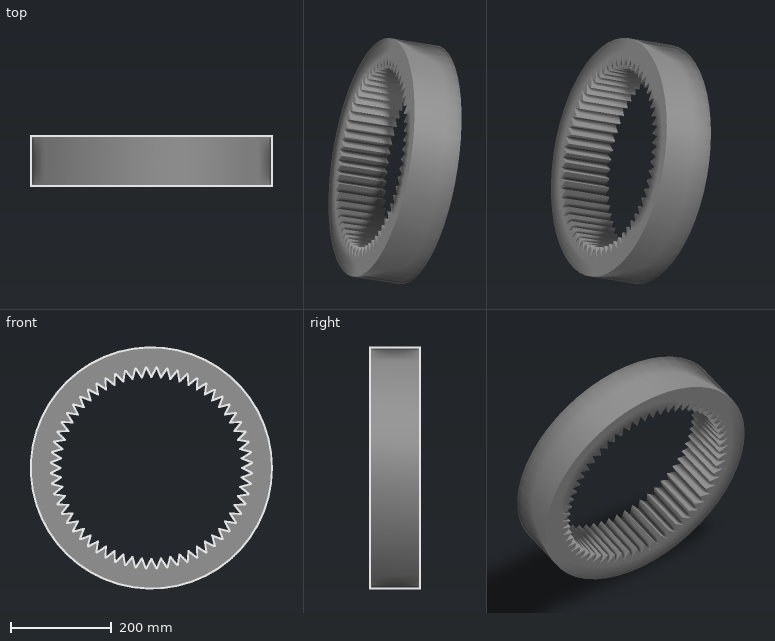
import cadquery as cq
import math

outer_diameter = 480.0
face_width = 100.0

tooth_count = 60
root_radius = 200.0
tooth_height = 20.0
tooth_base_width = 20.0
tip_radius = root_radius - tooth_height
tooth_pitch = 2 * math.pi / tooth_count
base_half_angle = math.asin(tooth_base_width / 2 / root_radius)


def polar_point(radius, angle):
    """Point in the XZ plane at the given radius and angle from +X."""
    return (radius * math.cos(angle), radius * math.sin(angle))


def front_plane():
    """XZ workplane on the -Y face; its normal points to -Y."""
    return cq.Workplane("XZ", origin=(0, -face_width / 2, 0))


def make_blank():
    """Solid disc spanning the full face width."""
    return front_plane().circle(outer_diameter / 2).extrude(-face_width)


def make_toothed_bore():
    """Core whose outline forms the internal teeth; one tooth tip lies on +X."""
    outline = front_plane().moveTo(tip_radius, 0)
    for tooth in range(tooth_count):
        tip_angle = tooth * tooth_pitch
        next_tip_angle = tip_angle + tooth_pitch
        root_start = polar_point(root_radius, tip_angle + base_half_angle)
        root_middle = polar_point(root_radius, tip_angle + tooth_pitch / 2)
        root_end = polar_point(root_radius, next_tip_angle - base_half_angle)
        outline = outline.lineTo(*root_start).threePointArc(root_middle, root_end)
        if tooth < tooth_count - 1:
            outline = outline.lineTo(*polar_point(tip_radius, next_tip_angle))
    return outline.close().extrude(-face_width)


result = make_blank().cut(make_toothed_bore())